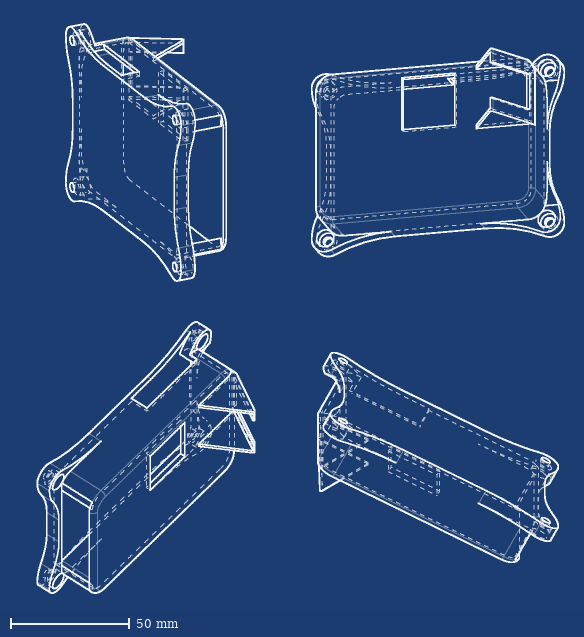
import cadquery as cq
import math

box_length = 96.2
box_height = 66.6
box_depth = 25.5
box_corner_radius = 7.6
lid_thickness = 2.4
wall = 2.0
floor = 2.2
half_length = box_length / 2
half_height = box_height / 2
lid_start = box_depth - lid_thickness

plate_length = 109.0
plate_height = 79.4
plate_thickness = 6.7
ear_radius = 6.0
ear_x = plate_length / 2 - ear_radius
ear_z = plate_height / 2 - ear_radius
long_side_radius = 62.2
short_side_radius = 34.9
short_side_flat = 7.4
screw_diameter = 4.0
screw_head_diameter = 7.5

port_right_x = -6.3
port_top_y = 10.6
port_wall_foot_x = -38.8
port_wall_bulge = 0.7
window_left_x = -13.4
window_right_x = 9.8
relief_y = 4.0
relief_half_height = 27.8
relief_radius = 21.8

bracket_bottom_z = 2.7
bracket_top_z = 30.8
bracket_arm_height = 6.1
bracket_peak_y = 45.9
bracket_tip_radius = 0.7
bracket_peak_x = -35.0
bracket_side_angle = 60.0
bracket_wall = 1.0
bracket_end_wall = 1.5
bracket_web_top_y = 26.6


def y_prism(outline, start_y, end_y):
    """Extrude an XZ-plane outline from start_y to end_y."""
    return outline.extrude(start_y - end_y).translate((0, start_y, 0))


def y_block(x_range, y_range, z_range):
    """Axis-aligned block between the given limits."""
    lows, highs = zip(x_range, y_range, z_range)
    sizes = [high - low for low, high in zip(lows, highs)]
    return cq.Workplane("XY").box(*sizes, centered=False).translate(lows)


def rounded_box(inset, start_y, end_y):
    """Box outline shrunk by inset, with rounded corners along Y."""
    outline = cq.Workplane("XZ").rect(box_length - 2 * inset, box_height - 2 * inset)
    return y_prism(outline, start_y, end_y).edges("|Y").fillet(box_corner_radius - inset)


def solid_box():
    """Case box before it is hollowed, with the lid edge rounded."""
    return rounded_box(0, 0, box_depth).faces(">Y").edges().fillet(lid_thickness)


def long_side_sweep():
    """Tangent points of the long-side arc: on the ear circle, and on the straight edge."""
    centre_z = half_height + long_side_radius
    reach = long_side_radius + ear_radius
    run = math.sqrt(reach**2 - (centre_z - ear_z) ** 2)
    ear_point = (ear_x - ear_radius * run / reach, ear_z + ear_radius * (centre_z - ear_z) / reach)
    return ear_point, (ear_x - run, half_height)


ear_end, long_edge_end = long_side_sweep()


def ear_pad():
    """Plate quarter in the +X +Z corner, ear included."""
    ear_tip_x = ear_x + ear_radius
    middle = (ear_tip_x - half_length, ear_z - short_side_flat)
    radius_sum = (middle[0] ** 2 + middle[1] ** 2) / (2 * middle[0])
    share = short_side_radius / radius_sum
    inflection = (half_length + share * middle[0], short_side_flat + share * middle[1])
    return (
        cq.Workplane("XZ")
        .moveTo(0, 0)
        .lineTo(0, half_height)
        .lineTo(*long_edge_end)
        .tangentArcPoint(ear_end, relative=False)
        .tangentArcPoint((ear_tip_x, ear_z), relative=False)
        .tangentArcPoint(inflection, relative=False)
        .tangentArcPoint((half_length, short_side_flat), relative=False)
        .lineTo(half_length, 0)
        .close()
        .extrude(-plate_thickness)
    )


def make_plate():
    """Whole plate, mirrored from one quarter."""
    upper = ear_pad().union(ear_pad().mirror("YZ"))
    return upper.union(upper.mirror("XY"))


def screw_holes():
    """Through holes with head recesses sunk from the back of the ears."""
    places = [(x, z) for x in (-ear_x, ear_x) for z in (-ear_z, ear_z)]
    ears = cq.Workplane("XZ").pushPoints(places)
    shanks = y_prism(ears.circle(screw_diameter / 2), 0, plate_thickness)
    heads = y_prism(ears.circle(screw_head_diameter / 2), floor, plate_thickness)
    return shanks.union(heads)


def port():
    """Opening in the +Z wall and the upper left ear, with one curved end."""
    start = (-ear_end[0], ear_end[1])
    foot = (port_wall_foot_x, half_height - wall)
    chord = (foot[0] - start[0], foot[1] - start[1])
    chord_length = math.hypot(*chord)
    bulge = (
        (start[0] + foot[0]) / 2 - port_wall_bulge * chord[1] / chord_length,
        (start[1] + foot[1]) / 2 + port_wall_bulge * chord[0] / chord_length,
    )
    outline = (
        cq.Workplane("XZ")
        .moveTo(*start)
        .threePointArc(bulge, foot)
        .lineTo(port_right_x, foot[1])
        .lineTo(port_right_x, start[1])
        .close()
    )
    return y_prism(outline, floor, port_top_y)


def ear_relief():
    """Shallow scoop that thins the inner ends of both ears at the -X end."""
    rise = plate_thickness - relief_y
    run = math.sqrt(relief_radius**2 - (relief_radius - rise) ** 2)
    flat = relief_half_height - run
    return (
        cq.Workplane("YZ")
        .moveTo(plate_thickness, -relief_half_height)
        .lineTo(plate_thickness, relief_half_height)
        .radiusArc((relief_y, flat), -relief_radius)
        .lineTo(relief_y, -flat)
        .radiusArc((plate_thickness, -relief_half_height), -relief_radius)
        .close()
        .extrude(half_length - plate_length / 2)
        .translate((-half_length, 0, 0))
    )


def make_case():
    """Hollow box on its plate, open at the +X end, with a square lid window level with the bracket."""
    case = solid_box().union(make_plate().cut(ear_relief()))
    cavity = rounded_box(wall, floor, lid_start)
    open_end = y_block(
        (half_length - wall, half_length), (plate_thickness, lid_start), (-half_height, half_height)
    )
    window_mid_z = (bracket_bottom_z + bracket_top_z) / 2
    half_window = (window_right_x - window_left_x) / 2
    window = y_block(
        (window_left_x, window_right_x),
        (lid_start, box_depth),
        (window_mid_z - half_window, window_mid_z + half_window),
    )
    return case.cut(cavity).cut(open_end).cut(window).cut(port()).cut(screw_holes())


def triangle(tip_y, bottom_z, top_z):
    """Prism along Z with both legs at the side angle and its point at tip_y."""
    half_base = (tip_y - lid_start) / math.tan(math.radians(bracket_side_angle))
    return (
        cq.Workplane("XY")
        .moveTo(bracket_peak_x - half_base, lid_start)
        .lineTo(bracket_peak_x, tip_y)
        .lineTo(bracket_peak_x + half_base, lid_start)
        .close()
        .extrude(top_z - bottom_z)
        .translate((0, 0, bottom_z))
    )


def make_bracket():
    """Prism with an open right leg, notched between its arms and seated on the rounded lid edge."""
    sharp_tip_y = bracket_peak_y + bracket_tip_radius
    prism = triangle(sharp_tip_y, bracket_bottom_z, bracket_top_z)
    prism = prism.edges("|Z and >Y").fillet(bracket_tip_radius)
    wall_along_x = bracket_wall / math.sin(math.radians(bracket_side_angle))
    hollow = triangle(
        sharp_tip_y, bracket_bottom_z + bracket_end_wall, bracket_top_z - bracket_end_wall
    ).translate((wall_along_x, 0, 0))
    notch = y_block(
        (-half_length, half_length),
        (bracket_web_top_y, sharp_tip_y),
        (bracket_bottom_z + bracket_arm_height, bracket_top_z - bracket_arm_height),
    )
    footprint = rounded_box(0, lid_start, sharp_tip_y)
    return prism.cut(hollow).cut(notch).intersect(footprint).cut(solid_box())


case = make_case()
bracket = make_bracket()
result = cq.Compound.makeCompound([case.val(), bracket.val()])